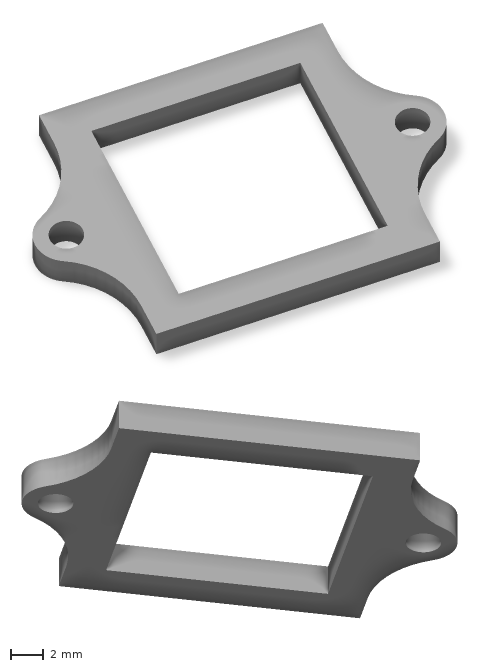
import cadquery as cq
import math

thickness = 2.0
frame_width = 18.8
frame_length = 19.0
window_side = 14.0
hole_diameter = 2.2
hole_spacing = 23.2
ear_radius = 2.1

frame_edge_y = frame_length / 2
hole_y = hole_spacing / 2
flank_start_x = window_side / 2
hole_offset = hole_y - frame_edge_y
flank_radius = (flank_start_x**2 + hole_offset**2 - ear_radius**2) / (2 * (ear_radius + hole_offset))
flank_center_y = frame_edge_y + flank_radius

join_angle = math.atan2(flank_center_y - hole_y, flank_start_x)
join_x = ear_radius * math.cos(join_angle)
join_y = hole_y + ear_radius * math.sin(join_angle)

flank_start_angle = math.radians(270)
flank_end_angle = math.pi + join_angle
flank_mid_angle = (flank_start_angle + flank_end_angle) / 2
flank_mid_x = flank_start_x + flank_radius * math.cos(flank_mid_angle)
flank_mid_y = flank_center_y + flank_radius * math.sin(flank_mid_angle)


def make_frame():
    return cq.Workplane("XY").rect(frame_width, frame_length).extrude(thickness)


def make_ear():
    """Ear on the +Y side, with its base reaching back to the window edge."""
    base_y = window_side / 2
    return (
        cq.Workplane("XY")
        .moveTo(flank_start_x, base_y)
        .lineTo(flank_start_x, frame_edge_y)
        .threePointArc((flank_mid_x, flank_mid_y), (join_x, join_y))
        .threePointArc((0, hole_y + ear_radius), (-join_x, join_y))
        .threePointArc((-flank_mid_x, flank_mid_y), (-flank_start_x, frame_edge_y))
        .lineTo(-flank_start_x, base_y)
        .close()
        .extrude(thickness)
    )


def make_window():
    return cq.Workplane("XY").rect(window_side, window_side).extrude(thickness)


def make_holes():
    return (
        cq.Workplane("XY")
        .pushPoints([(0, hole_y), (0, -hole_y)])
        .circle(hole_diameter / 2)
        .extrude(thickness)
    )


ear = make_ear()
plate = make_frame().union(ear).union(ear.mirror("XZ")).clean()
result = plate.cut(make_window()).cut(make_holes())